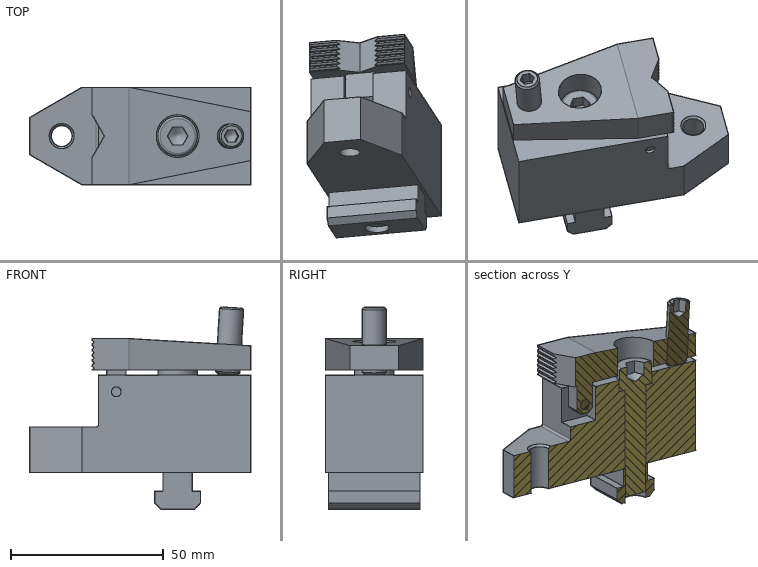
import cadquery as cq
import math

base_length = 72.5
base_width = 32.0
base_height = 32.0
nose_height = 15.0
step_x = 22.5
step_fillet = 0.7
nose_tip_width = 12.2
nose_angle = 30.0
nose_hole_x = 10.5
nose_hole_diameter = 6.8
nose_hole_mouth_diameter = 8.2

lug_width = 9.8
lug_length = 6.4
lug_chamfer = 1.7
pocket_floor_z = 20.0
pocket_end_clearance = 1.0

pin_diameter = 3.2
pin_length = 30.0
pin_x = 28.4
pin_z = 26.5

jaw_gap = 1.6
jaw_height = 10.4
jaw_front_x = 20.5
jaw_taper_x = 32.5
jaw_end_width = 16.0
jaw_slope = 3.4
notch_depth = 4.0
notch_angle = 120.0
groove_count = 6
groove_pitch = 1.7
groove_depth = 0.6
groove_width = 1.2
lowest_groove_height = 0.65
screw_access_diameter = 14.0

socket_point_angle = 120.0

screw_x = 48.5
head_diameter = 13.0
head_top_z = 36.0
head_height = 8.0
head_fillet = 0.8
shank_diameter = 8.0
shank_end_z = -10.0
screw_socket_flats = 5.8
screw_socket_depth = 4.0

nut_length = 30.0
nut_neck_width = 9.6
nut_neck_height = 6.0
nut_foot_width = 15.0
nut_foot_height = 6.0
nut_chamfer = 2.0

set_screw_diameter = 8.0
set_screw_length = 22.0
set_screw_top_chamfer = 0.6
set_screw_tip_chamfer = 0.8
set_screw_tip_x = 64.9
set_screw_socket_flats = 4.0
set_screw_socket_depth = 4.0

jaw_bottom_z = base_height + jaw_gap
jaw_top_z = jaw_bottom_z + jaw_height
lug_bottom_z = pin_z - lug_length / 2
set_screw_tip_radius = set_screw_diameter / 2 - set_screw_tip_chamfer
set_screw_tip_z = base_height + set_screw_tip_radius * math.sin(math.radians(jaw_slope))


def cylinder_z(x, diameter, z_from, z_to):
    """Upright cylinder on the centre plane."""
    return cq.Workplane("XY", origin=(x, 0, z_from)).circle(diameter / 2).extrude(z_to - z_from)


def pin_cylinder(length):
    """Cylinder along Y on the hinge axis, centred on the part."""
    hinge_plane = cq.Workplane("XZ", origin=(pin_x, 0, pin_z))
    return hinge_plane.circle(pin_diameter / 2).extrude(length / 2, both=True)


def hex_socket(x, top_z, flats, depth):
    """Hexagonal socket cutter with a conical bottom."""
    corner_radius = flats / math.sqrt(3)
    point_depth = corner_radius / math.tan(math.radians(socket_point_angle / 2))
    hexagon = (
        cq.Workplane("XY", origin=(x, 0, top_z))
        .polygon(6, 2 * corner_radius)
        .extrude(-depth - point_depth)
    )
    pointed_drill = (
        cq.Workplane("XZ", origin=(x, 0, top_z))
        .polyline([(0, 0), (corner_radius, 0), (corner_radius, -depth), (0, -depth - point_depth)])
        .close()
        .revolve(360, (0, 0), (0, 1))
    )
    return hexagon.intersect(pointed_drill)


def screw_shank():
    """Cap screw shank, also the cutter for its hole."""
    return cylinder_z(screw_x, shank_diameter, shank_end_z, head_top_z - head_height)


def screw_head():
    """Plain cap screw head, also the cutter for its counterbore."""
    return cylinder_z(screw_x, head_diameter, head_top_z - head_height, head_top_z)


def set_screw_blank():
    """Chamfered set screw, tilted about its lower end."""
    blank = (
        cylinder_z(set_screw_tip_x, set_screw_diameter, set_screw_tip_z, set_screw_tip_z + set_screw_length)
        .faces(">Z")
        .chamfer(set_screw_top_chamfer)
        .faces("<Z")
        .chamfer(set_screw_tip_chamfer)
    )
    return tilt_set_screw(blank)


def tilt_set_screw(body):
    """Lean the body toward +X by the slope of the jaw."""
    axis_start = (set_screw_tip_x, 0, set_screw_tip_z)
    axis_end = (set_screw_tip_x, 1, set_screw_tip_z)
    return body.rotate(axis_start, axis_end, jaw_slope)


def make_base():
    """Stepped block with a tapered nose, a lug pocket and holes for pin and screw."""
    side_profile = [
        (0, 0),
        (base_length, 0),
        (base_length, base_height),
        (step_x, base_height),
        (step_x, nose_height),
        (0, nose_height),
    ]
    body = cq.Workplane("XZ").polyline(side_profile).close().extrude(base_width / 2, both=True)
    inner_corner = cq.selectors.NearestToPointSelector((step_x, 0, nose_height))
    body = body.edges("|Y").edges(inner_corner).fillet(step_fillet)

    nose_length = (base_width - nose_tip_width) / 2 / math.tan(math.radians(nose_angle))
    plan = [
        (0, -nose_tip_width / 2),
        (nose_length, -base_width / 2),
        (base_length, -base_width / 2),
        (base_length, base_width / 2),
        (nose_length, base_width / 2),
        (0, nose_tip_width / 2),
    ]
    body = body.intersect(cq.Workplane("XY").polyline(plan).close().extrude(base_height))

    body = body.cut(nose_hole()).cut(lug_pocket())
    return body.cut(pin_cylinder(base_width)).cut(screw_shank()).cut(screw_head())


def nose_hole():
    """Through-hole cutter for the nose, with a countersunk mouth."""
    mouth_depth = (nose_hole_mouth_diameter - nose_hole_diameter) / 2
    mouth = (
        cq.Workplane("XY", origin=(nose_hole_x, 0, nose_height))
        .circle(nose_hole_mouth_diameter / 2)
        .extrude(-mouth_depth, taper=45)
    )
    return cylinder_z(nose_hole_x, nose_hole_diameter, 0, nose_height).union(mouth)


def lug_pocket():
    """Pocket cutter, open to the step face and the top of the base."""
    pocket_length = pin_x + lug_length / 2 + pocket_end_clearance - step_x
    return cq.Workplane("XY", origin=(step_x, 0, pocket_floor_z)).box(
        pocket_length, lug_width, base_height - pocket_floor_z, centered=(False, True, False)
    )


def jaw_groove(groove_z):
    """V-groove cutter across the jaw face."""
    return (
        cq.Workplane("XZ")
        .moveTo(jaw_front_x, groove_z - groove_width / 2)
        .lineTo(jaw_front_x + groove_depth, groove_z)
        .lineTo(jaw_front_x, groove_z + groove_width / 2)
        .close()
        .extrude(base_width / 2, both=True)
    )


def jaw_lug():
    """Hinge lug under the jaw, chamfered at its lower end."""
    return (
        cq.Workplane("XY", origin=(pin_x, 0, lug_bottom_z))
        .box(lug_length, lug_width, jaw_bottom_z - lug_bottom_z, centered=(True, True, False))
        .faces("<Z")
        .edges("|Y")
        .chamfer(lug_chamfer)
    )


def make_jaw():
    """Tapered, sloping jaw with a notched and grooved face and a hinge lug below."""
    taper_length = base_length - jaw_taper_x
    end_top_z = jaw_top_z - taper_length * math.tan(math.radians(jaw_slope))
    side_profile = [
        (jaw_front_x, jaw_bottom_z),
        (base_length, jaw_bottom_z),
        (base_length, end_top_z),
        (jaw_taper_x, jaw_top_z),
        (jaw_front_x, jaw_top_z),
    ]
    body = cq.Workplane("XZ").polyline(side_profile).close().extrude(base_width / 2, both=True)

    notch_half_width = notch_depth * math.tan(math.radians(notch_angle / 2))
    plan = [
        (jaw_front_x, -base_width / 2),
        (jaw_taper_x, -base_width / 2),
        (base_length, -jaw_end_width / 2),
        (base_length, jaw_end_width / 2),
        (jaw_taper_x, base_width / 2),
        (jaw_front_x, base_width / 2),
        (jaw_front_x, notch_half_width),
        (jaw_front_x + notch_depth, 0),
        (jaw_front_x, -notch_half_width),
    ]
    outline = cq.Workplane("XY", origin=(0, 0, jaw_bottom_z)).polyline(plan).close().extrude(jaw_height)
    body = body.intersect(outline)

    for i in range(groove_count):
        groove_z = jaw_bottom_z + lowest_groove_height + i * groove_pitch
        body = body.cut(jaw_groove(groove_z))

    body = body.union(jaw_lug()).cut(pin_cylinder(base_width))
    body = body.cut(cylinder_z(screw_x, screw_access_diameter, jaw_bottom_z, jaw_top_z))
    return body.cut(set_screw_blank())


def make_pin():
    return pin_cylinder(pin_length)


def make_cap_screw():
    head = screw_head().faces(">Z").fillet(head_fillet)
    socket = hex_socket(screw_x, head_top_z, screw_socket_flats, screw_socket_depth)
    return head.union(screw_shank()).cut(socket)


def make_t_nut():
    foot_bottom_z = -nut_neck_height - nut_foot_height
    foot = (
        cq.Workplane("XY", origin=(screw_x, 0, foot_bottom_z))
        .box(nut_foot_width, nut_length, nut_foot_height, centered=(True, True, False))
        .faces("<Z")
        .edges("|Y")
        .chamfer(nut_chamfer)
    )
    neck = cq.Workplane("XY", origin=(screw_x, 0, -nut_neck_height)).box(
        nut_neck_width, nut_length, nut_neck_height, centered=(True, True, False)
    )
    return foot.union(neck).cut(cylinder_z(screw_x, shank_diameter, foot_bottom_z, 0))


def make_set_screw():
    top_z = set_screw_tip_z + set_screw_length
    socket = hex_socket(set_screw_tip_x, top_z, set_screw_socket_flats, set_screw_socket_depth)
    return set_screw_blank().cut(tilt_set_screw(socket))


base = make_base()
jaw = make_jaw()
pin = make_pin()
cap_screw = make_cap_screw()
t_nut = make_t_nut()
set_screw = make_set_screw()

bodies = [base, jaw, pin, cap_screw, t_nut, set_screw]
result = cq.Compound.makeCompound([body.val() for body in bodies])